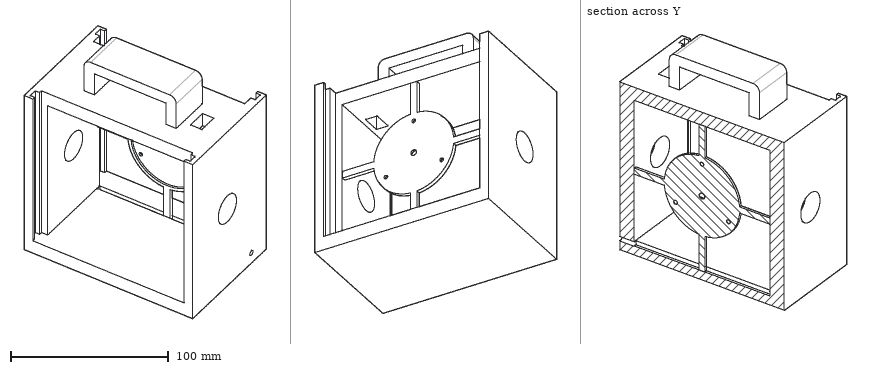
import cadquery as cq
import math

BOX_WIDTH = 128.0
BOX_DEPTH = 85.0
TOTAL_HEIGHT = 150.0
HANDLE_HEIGHT = 25.0
BOX_HEIGHT = TOTAL_HEIGHT - HANDLE_HEIGHT
PLATE_THICKNESS = 10.0
CHAMBER_WIDTH = 105.5

SLOT_WIDTH = 114.8
FRONT_SLOT_DEPTH = 10.0
BACK_SLOT_DEPTH = 15.0
TONGUE_GROOVE_SPAN = 121.4
TONGUE_GROOVE_WIDTH = 5.8
LIP_THICKNESS = 2.1

SPIDER_SPAN = 105.0
SPIDER_THICKNESS = 3.0
SPOKE_WIDTH = 5.0
CUP_DIAMETER = 59.0
RECESS_DIAMETER = 54.0
RECESS_DEPTH = 1.5
CENTRE_HOLE_DIAMETER = 4.0
SCREW_HOLE_DIAMETER = 2.5
SCREW_CIRCLE_RADIUS = 23.7
SCREW_COUNT = 3
FLOOR_GROOVE_DEPTH = 3.0

SIDE_HOLE_DIAMETER = 21.0
WIRE_HOLE_DIAMETER = 3.5
WIRE_HOLE_Y = 67.8
WIRE_HOLE_Z = 8.2
SWITCH_WIDTH = 8.5
SWITCH_LENGTH = 13.8
SWITCH_X = 44.8

HANDLE_LENGTH = 70.0
HANDLE_DEPTH = 30.0
HANDLE_BAR = 8.0
HANDLE_EDGE_RADIUS = 5.1

CEILING_Z = BOX_HEIGHT - PLATE_THICKNESS
GROOVE_BOTTOM_Z = PLATE_THICKNESS - FLOOR_GROOVE_DEPTH
CENTRE_Z = BOX_HEIGHT / 2
BACK_SLOT_Y = BOX_DEPTH - BACK_SLOT_DEPTH
SPIDER_Y = BACK_SLOT_Y - SPIDER_THICKNESS
TOP_CENTRE_Y = (FRONT_SLOT_DEPTH + BACK_SLOT_Y) / 2


def block(width, y_start, y_end, z_start, z_end):
    """Box centred on X = 0 between the given Y and Z limits."""
    return (
        cq.Workplane("XY")
        .box(width, y_end - y_start, z_end - z_start, centered=(True, False, False))
        .translate((0, y_start, z_start))
    )


def disc(diameter, y_start, length, x=0.0, z=CENTRE_Z):
    """Cylinder running along +Y from y_start."""
    return (
        cq.Workplane("XZ", origin=(x, y_start, z))
        .circle(diameter / 2)
        .extrude(-length)
    )


def panel_slot(y_start, y_end, groove_y):
    """Upright slot with a tongue groove in each side, open at the top."""
    slot = block(SLOT_WIDTH, y_start, y_end, PLATE_THICKNESS, BOX_HEIGHT)
    groove_end = groove_y + TONGUE_GROOVE_WIDTH
    grooves = block(TONGUE_GROOVE_SPAN, groove_y, groove_end, PLATE_THICKNESS, BOX_HEIGHT)
    return slot.union(grooves)


def cross_hole(diameter, x_start, x_end, y, z):
    """Cylinder running along +X between the given limits."""
    return (
        cq.Workplane("YZ", origin=(x_start, y, z))
        .circle(diameter / 2)
        .extrude(x_end - x_start)
    )


def make_spider():
    """Recessed cup on four spokes; the lower spoke stands on the bottom of the floor groove."""
    half_spoke = SPOKE_WIDTH / 2
    upright = block(SPOKE_WIDTH, SPIDER_Y, BACK_SLOT_Y, GROOVE_BOTTOM_Z, CEILING_Z)
    crossbar = block(SPIDER_SPAN, SPIDER_Y, BACK_SLOT_Y, CENTRE_Z - half_spoke, CENTRE_Z + half_spoke)
    body = upright.union(crossbar).union(disc(CUP_DIAMETER, SPIDER_Y, SPIDER_THICKNESS))

    body = body.cut(disc(RECESS_DIAMETER, SPIDER_Y, RECESS_DEPTH))
    body = body.cut(disc(CENTRE_HOLE_DIAMETER, SPIDER_Y, SPIDER_THICKNESS))
    for i in range(SCREW_COUNT):
        angle = math.radians(90 + i * 360 / SCREW_COUNT)
        hole_x = SCREW_CIRCLE_RADIUS * math.cos(angle)
        hole_z = CENTRE_Z + SCREW_CIRCLE_RADIUS * math.sin(angle)
        body = body.cut(disc(SCREW_HOLE_DIAMETER, SPIDER_Y, SPIDER_THICKNESS, hole_x, hole_z))
    return body


def carrying_handle():
    """Bow standing on the top plate, rounded along its two top edges."""
    y_start = TOP_CENTRE_Y - HANDLE_DEPTH / 2
    y_end = TOP_CENTRE_Y + HANDLE_DEPTH / 2
    bow = block(HANDLE_LENGTH, y_start, y_end, BOX_HEIGHT, TOTAL_HEIGHT)
    bow = bow.edges("|Y and >Z").fillet(HANDLE_EDGE_RADIUS)
    opening_width = HANDLE_LENGTH - 2 * HANDLE_BAR
    return bow.cut(block(opening_width, y_start, y_end, BOX_HEIGHT, TOTAL_HEIGHT - HANDLE_BAR))


def make_housing():
    """Open box with panel slots front and back and a carrying handle on top."""
    body = block(BOX_WIDTH, 0, BOX_DEPTH, 0, BOX_HEIGHT)

    body = body.cut(block(CHAMBER_WIDTH, 0, BOX_DEPTH, PLATE_THICKNESS, CEILING_Z))

    back_groove_y = BOX_DEPTH - LIP_THICKNESS - TONGUE_GROOVE_WIDTH
    body = body.cut(panel_slot(0, FRONT_SLOT_DEPTH, LIP_THICKNESS))
    body = body.cut(panel_slot(BACK_SLOT_Y, BOX_DEPTH, back_groove_y))

    body = body.cut(block(SPIDER_SPAN, SPIDER_Y, BACK_SLOT_Y, GROOVE_BOTTOM_Z, PLATE_THICKNESS))

    wire_hole = cross_hole(WIRE_HOLE_DIAMETER, SPIDER_SPAN / 2, BOX_WIDTH / 2, WIRE_HOLE_Y, WIRE_HOLE_Z)
    body = body.cut(wire_hole)

    half_width = BOX_WIDTH / 2
    side_hole = cross_hole(SIDE_HOLE_DIAMETER, -half_width, half_width, TOP_CENTRE_Y, CENTRE_Z)
    body = body.cut(side_hole)

    switch_start = TOP_CENTRE_Y - SWITCH_LENGTH / 2
    switch_end = TOP_CENTRE_Y + SWITCH_LENGTH / 2
    switch = block(SWITCH_WIDTH, switch_start, switch_end, CEILING_Z, BOX_HEIGHT)
    body = body.cut(switch.translate((SWITCH_X, 0, 0)))

    return body.union(carrying_handle())


housing = make_housing()
spider = make_spider()

result = cq.Compound.makeCompound([housing.val(), spider.val()])